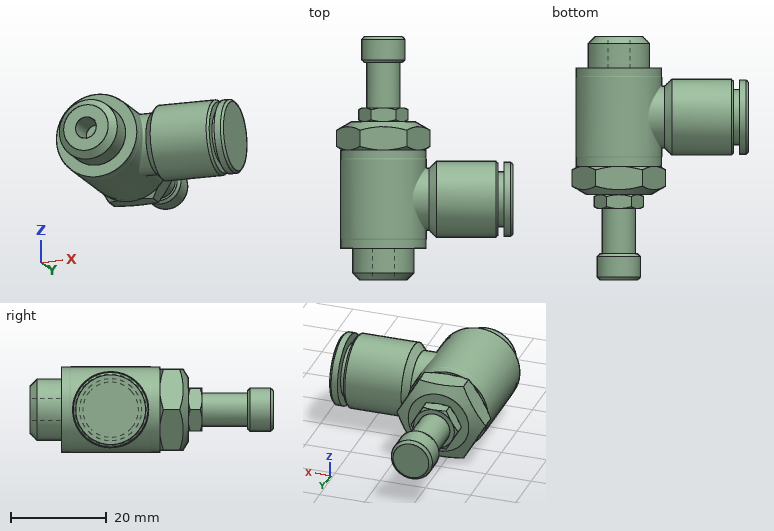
import cadquery as cq
import math


spigot_radius = 6.45
spigot_length = 6.6
spigot_chamfer = 1.5
bore_radius = 2.3
bore_depth = spigot_length

body_radius = 9.0
body_length = 20.6
collar_radius = 8.95
collar_length = 1.75
body_edge_length = 0.25

hex_chamfer_angle = math.radians(30)
body_nut_flats = 17.0
body_nut_height = 5.95
body_nut_top_radius = 6.7
lock_nut_flats = 9.0
lock_nut_height = 2.9

stem_radius = 3.5
knob_radius = 4.55
knob_length = 5.5
knob_chamfer = 0.6
overall_length = 51.01

socket_axis_y = 16.9
socket_neck_radius = 6.5
socket_radius = 7.98
socket_cone_start = 9.6
socket_cone_end = 11.1
socket_end = 24.05
socket_end_chamfer = 0.5
neck_fillet = 0.2
release_neck_radius = 5.8
release_collar_start = 25.25
release_collar_radius = 7.8
release_collar_end = 27.155
release_chamfer = 0.5

body_start = spigot_length
body_end = body_start + body_length
body_nut_end = body_end + body_nut_height
lock_nut_end = body_nut_end + lock_nut_height
knob_start = overall_length - knob_length


def revolve_about_y(profile):
    """Revolve (radius, y) points closed along the Y axis."""
    outline = [(0, profile[0][1])] + profile + [(0, profile[-1][1])]
    return cq.Workplane("XY").polyline(outline).close().revolve(360, (0, 0, 0), (0, 1, 0))


def make_spigot():
    return revolve_about_y([
        (spigot_radius - spigot_chamfer, 0),
        (spigot_radius, spigot_chamfer),
        (spigot_radius, body_start),
    ])


def make_body():
    barrel_start = body_start + collar_length
    barrel_end = body_end - collar_length
    return revolve_about_y([
        (collar_radius, body_start),
        (collar_radius, barrel_start),
        (body_radius, barrel_start + body_edge_length),
        (body_radius, barrel_end - body_edge_length),
        (collar_radius, barrel_end),
        (collar_radius, body_end),
    ])


def make_nut(flats, start, height, bottom_radius, top_radius):
    """Hexagon with corners on +X and -X, trimmed by a cone at each end."""
    corner_radius = flats / 2 / math.cos(math.radians(30))
    end = start + height
    slope = math.tan(hex_chamfer_angle)
    hexagon = (
        cq.Workplane("XZ", origin=(0, start, 0))
        .polygon(6, 2 * corner_radius)
        .extrude(-height)
    )
    envelope = revolve_about_y([
        (bottom_radius, start),
        (corner_radius, start + (corner_radius - bottom_radius) * slope),
        (corner_radius, end - (corner_radius - top_radius) * slope),
        (top_radius, end),
    ])
    return hexagon.intersect(envelope)


def make_screw():
    return revolve_about_y([
        (stem_radius, lock_nut_end),
        (stem_radius, knob_start),
        (knob_radius - knob_chamfer, knob_start),
        (knob_radius, knob_start + knob_chamfer),
        (knob_radius, overall_length - knob_chamfer),
        (knob_radius - knob_chamfer, overall_length),
    ])


def make_socket():
    profile = [
        (0, 0),
        (0, socket_neck_radius),
        (socket_cone_start, socket_neck_radius),
        (socket_cone_end, socket_radius),
        (socket_end - socket_end_chamfer, socket_radius),
        (socket_end, socket_radius - socket_end_chamfer),
        (socket_end, release_neck_radius),
        (release_collar_start, release_neck_radius),
        (release_collar_start, release_collar_radius),
        (release_collar_end - release_chamfer, release_collar_radius),
        (release_collar_end, release_collar_radius - release_chamfer),
        (release_collar_end, 0),
    ]
    return (
        cq.Workplane("XY", origin=(0, socket_axis_y, 0))
        .polyline(profile)
        .close()
        .revolve(360, (0, 0, 0), (1, 0, 0))
    )


def blend_neck_into_barrel(solid):
    """Fillet the saddle-shaped edge where the socket neck meets the barrel."""
    seam_selector = cq.selectors.BoxSelector(
        (0, socket_axis_y - socket_radius, -socket_radius),
        (socket_cone_start - neck_fillet, socket_axis_y + socket_radius, socket_radius),
        boundingbox=True,
    )
    return solid.edges(seam_selector).edges("not %LINE").fillet(neck_fillet)


body_nut = make_nut(body_nut_flats, body_end, body_nut_height, body_nut_flats / 2, body_nut_top_radius)
lock_nut = make_nut(lock_nut_flats, body_nut_end, lock_nut_height, lock_nut_flats / 2, lock_nut_flats / 2)
bore = cq.Workplane("XZ").circle(bore_radius).extrude(-bore_depth)

body_with_socket = blend_neck_into_barrel(make_body().union(make_socket()))

result = (
    make_spigot()
    .union(body_with_socket)
    .union(body_nut)
    .union(lock_nut)
    .union(make_screw())
    .cut(bore)
)